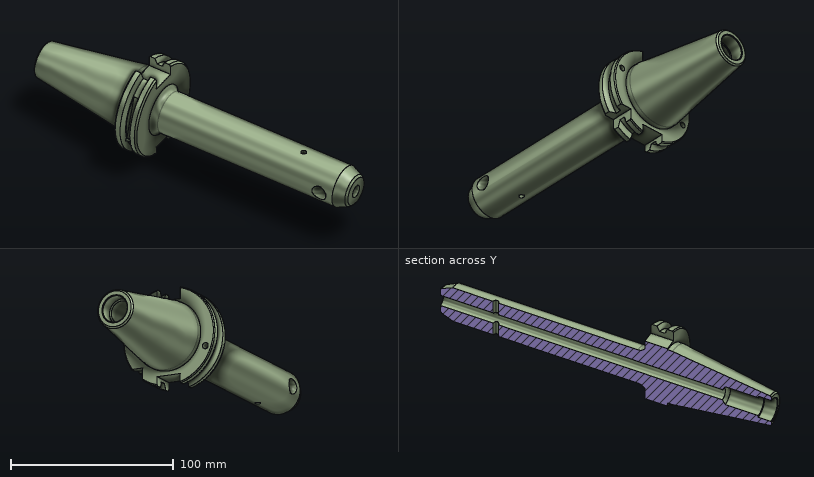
import cadquery as cq
import math

total_length = 228.5

gauge_x = 68.3
gauge_diameter = 44.5
gauge_radius = gauge_diameter / 2
taper_slope = 7 / 24 / 2
tail_radius = gauge_radius - gauge_x * taper_slope
tail_chamfer = 1.0

flange_x = 71.7
flange_width = 15.8
flange_radius = 31.7
flange_back_x = flange_x + flange_width
front_chamfer = 0.7
back_chamfer = 1.1
groove_x = 79.5
groove_floor_radius = 28.0
groove_floor_width = 3.7
groove_mouth_width = 7.0

shank_diameter = 28.0
shank_radius = shank_diameter / 2
root_length = 4.5
root_radius = 5.0
nose_x = 219.7
nose_end_radius = 10.7
nose_chamfer = 1.4

keyway_width = 16.0
top_keyway_floor = 23.0
bottom_keyway_floor = 25.0
notch_y = 18.3
notch_z = 18.0

flat_tilt = 16.0
flat_length = 28.8
flat_width = 3.2
flat_distance = math.sqrt(groove_floor_radius**2 - (flat_length / 2) ** 2)

coolant_pitch_diameter = 54.1
coolant_radius = coolant_pitch_diameter / 2
coolant_angle = 20.0
coolant_diameter = 3.9
outlet_diameter = 2.7

through_diameter = 8.0
mouth_diameter = 17.0
mouth_depth = 9.1
mouth_chamfer = 0.5
thread_diameter = 14.5
thread_depth = 32.0
drill_point_angle = 118.0
drill_half_angle = math.radians(drill_point_angle / 2)

seat_x = 210.1
seat_diameter = 9.5
seat_sphere_radius = 5.3
pin_hole_x = 190.0
pin_hole_diameter = 3.5


def revolve_about_x(profile):
    return profile.close().revolve(360, (0, 0, 0), (1, 0, 0))


def turned_body():
    root_end_x = flange_back_x + root_length
    root_rise = root_radius - math.sqrt(root_radius**2 - root_length**2)
    half_angle = math.asin(root_length / root_radius) / 2
    root_mid = (
        root_end_x - root_radius * math.sin(half_angle),
        shank_radius + root_radius * (1 - math.cos(half_angle)),
    )
    profile = (
        cq.Workplane("XY")
        .lineTo(0, tail_radius - tail_chamfer)
        .lineTo(tail_chamfer, tail_radius + tail_chamfer * taper_slope)
        .lineTo(gauge_x, gauge_radius)
        .lineTo(flange_x, gauge_radius)
        .lineTo(flange_x, flange_radius - front_chamfer)
        .lineTo(flange_x + front_chamfer, flange_radius)
        .lineTo(groove_x - groove_mouth_width / 2, flange_radius)
        .lineTo(groove_x - groove_floor_width / 2, groove_floor_radius)
        .lineTo(groove_x + groove_floor_width / 2, groove_floor_radius)
        .lineTo(groove_x + groove_mouth_width / 2, flange_radius)
        .lineTo(flange_back_x - back_chamfer, flange_radius)
        .lineTo(flange_back_x, flange_radius - back_chamfer)
        .lineTo(flange_back_x, shank_radius + root_rise)
        .threePointArc(root_mid, (root_end_x, shank_radius))
        .lineTo(nose_x, shank_radius)
        .lineTo(total_length - nose_chamfer, nose_end_radius)
        .lineTo(total_length, nose_end_radius - nose_chamfer)
        .lineTo(total_length, 0)
    )
    return revolve_about_x(profile)


def axial_bores():
    through_radius = through_diameter / 2
    mouth_radius = mouth_diameter / 2
    thread_radius = thread_diameter / 2
    cone_depth = (thread_radius - through_radius) / math.tan(drill_half_angle)
    profile = (
        cq.Workplane("XY")
        .lineTo(0, mouth_radius + mouth_chamfer)
        .lineTo(mouth_chamfer, mouth_radius)
        .lineTo(mouth_depth, mouth_radius)
        .lineTo(mouth_depth, thread_radius)
        .lineTo(thread_depth, thread_radius)
        .lineTo(thread_depth + cone_depth, through_radius)
        .lineTo(total_length, through_radius)
        .lineTo(total_length, 0)
    )
    return revolve_about_x(profile)


def flange_cut(y_min, y_max, z_min, z_max):
    """A block through the full flange width."""
    block = cq.Workplane("XY").box(flange_width, y_max - y_min, z_max - z_min, centered=False)
    return block.translate((flange_x, y_min, z_min))


def flange_cuts():
    half_key = keyway_width / 2
    top_keyway = flange_cut(-half_key, half_key, top_keyway_floor, flange_radius)
    bottom_keyway = flange_cut(-half_key, half_key, -flange_radius, -bottom_keyway_floor)
    notch = flange_cut(notch_y, flange_radius, -flange_radius, -notch_z)
    return top_keyway.union(bottom_keyway).union(notch)


def groove_flat():
    depth = flange_radius - flat_distance
    block = cq.Workplane("XY").box(flat_width, depth, flat_length)
    flat_x = groove_x + (groove_floor_width - flat_width) / 2
    block = block.translate((flat_x, -flat_distance - depth / 2, 0))
    return block.rotate((0, 0, 0), (1, 0, 0), -flat_tilt)


def coolant_hole(angle):
    """An axial hole from the flange face and its radial outlet in the groove floor."""
    feed = (
        cq.Workplane("YZ", origin=(flange_x, coolant_radius, 0))
        .circle(coolant_diameter / 2)
        .extrude(groove_x - flange_x)
    )
    outlet = (
        cq.Workplane("XZ", origin=(groove_x, coolant_radius - coolant_diameter / 2, 0))
        .circle(outlet_diameter / 2)
        .extrude(-(flange_radius - coolant_radius + coolant_diameter / 2))
    )
    return feed.union(outlet).rotate((0, 0, 0), (1, 0, 0), angle)


def seat_dimple(side):
    """A spherical seat in the shank, opening toward +Y (side = 1) or -Y (side = -1)."""
    rim_radius = seat_diameter / 2
    rim_distance = math.sqrt(shank_radius**2 - rim_radius**2)
    centre_distance = rim_distance + math.sqrt(seat_sphere_radius**2 - rim_radius**2)
    return cq.Workplane("XY").sphere(seat_sphere_radius).translate((seat_x, side * centre_distance, 0))


def pin_hole():
    return (
        cq.Workplane("XY", origin=(pin_hole_x, 0, -shank_radius))
        .circle(pin_hole_diameter / 2)
        .extrude(2 * shank_radius)
    )


result = turned_body().cut(axial_bores()).cut(flange_cuts()).cut(groove_flat()).cut(pin_hole())
for angle in (coolant_angle, coolant_angle + 180):
    result = result.cut(coolant_hole(angle))
for side in (1, -1):
    result = result.cut(seat_dimple(side))